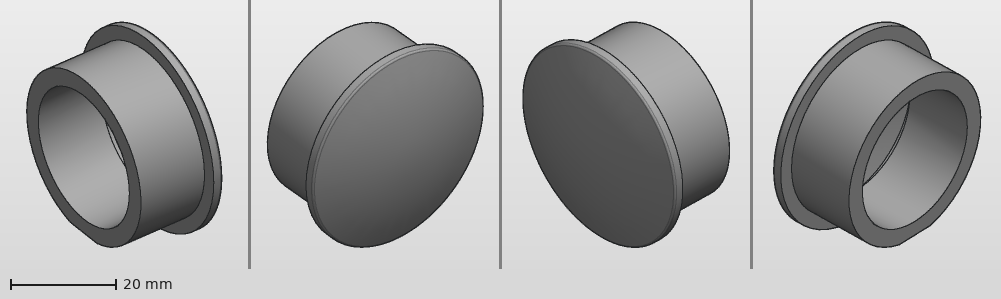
import cadquery as cq
import math

flange_diameter = 42.4
flange_thickness = 2.0
dome_rise = 4.0
rim_fillet = 0.5

spigot_diameter = 36.45
spigot_length = 15.0
flat_distance = 17.72

bore_diameter = 29.0
chamber_diameter = 34.4
cap_wall = 1.0

flange_radius = flange_diameter / 2
spigot_radius = spigot_diameter / 2
chamber_radius = chamber_diameter / 2
crown_y = flange_thickness + dome_rise
dome_radius = (flange_radius**2 + dome_rise**2) / (2 * dome_rise)
dome_center_y = crown_y - dome_radius


def domed_disc(radius, sphere_radius):
    """Disc standing on y = 0, closed by a spherical cap about the shared dome centre."""

    def cap_y(r):
        return dome_center_y + math.sqrt(sphere_radius**2 - r**2)

    return (
        cq.Workplane("XY")
        .lineTo(radius, 0)
        .lineTo(radius, cap_y(radius))
        .threePointArc((radius / 2, cap_y(radius / 2)), (0, cap_y(0)))
        .close()
        .revolve(360, (0, 0, 0), (0, 1, 0))
    )


def spigot_cylinder(diameter):
    """Round bar running from the flange underside to the open end of the spigot."""
    return cq.Workplane("XZ").circle(diameter / 2).extrude(spigot_length)


rim_edge = cq.selectors.BoxSelector(
    (-flange_diameter, flange_thickness / 2, -flange_diameter),
    (flange_diameter, flange_thickness + rim_fillet, flange_diameter),
    boundingbox=True,
)
head = domed_disc(flange_radius, dome_radius)
head = head.edges(rim_edge).edges("%CIRCLE").fillet(rim_fillet)

flat_depth = spigot_radius - flat_distance
flat_cutter = (
    cq.Workplane("XY")
    .box(spigot_diameter, spigot_length, flat_depth)
    .translate((0, -spigot_length / 2, -flat_distance - flat_depth / 2))
)
spigot = spigot_cylinder(spigot_diameter).cut(flat_cutter)

bore = spigot_cylinder(bore_diameter)
chamber = domed_disc(chamber_radius, dome_radius - cap_wall)

result = head.union(spigot).cut(bore).cut(chamber)